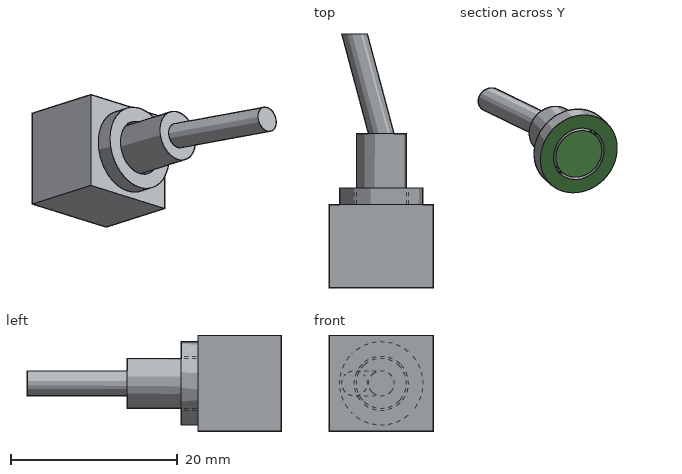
import cadquery as cq
import math

total_length = 30.5

housing_width = 12.5
housing_depth = 10.0
housing_height = 11.5

bushing_diameter = 6.0
bushing_length = 8.5
washer_diameter = 10.0
washer_bore = 6.5
washer_thickness = 2.0

lever_diameter = 3.0
lever_tilt = 15.0

bushing_top = housing_depth + bushing_length
lever_reach = total_length - bushing_top


def plane_across_y(y):
    """Plane at the given Y, facing +Y, with its local X along global X."""
    return cq.Workplane(cq.Plane(origin=(0, y, 0), xDir=(1, 0, 0), normal=(0, 1, 0)))


def make_housing():
    """Box and bushing as one solid."""
    box = plane_across_y(0).rect(housing_width, housing_height).extrude(housing_depth)
    bushing = plane_across_y(housing_depth).circle(bushing_diameter / 2).extrude(bushing_length)
    return box.union(bushing)


def make_washer():
    """Flat ring resting on the housing, with clearance around the bushing."""
    return (
        plane_across_y(housing_depth)
        .circle(washer_diameter / 2)
        .circle(washer_bore / 2)
        .extrude(washer_thickness)
    )


def make_lever():
    """Tilted rod: its cross-section square to Y is an ellipse, swept along the tilted axis."""
    tilt = math.radians(lever_tilt)
    tip = (-lever_reach * math.tan(tilt), total_length)
    path = cq.Workplane("XY").moveTo(0, bushing_top).lineTo(*tip)
    ellipse_half_width = lever_diameter / 2 / math.cos(tilt)
    return plane_across_y(bushing_top).ellipse(ellipse_half_width, lever_diameter / 2).sweep(path)


housing = make_housing()
washer = make_washer()
lever = make_lever()

result = cq.Compound.makeCompound([housing.val(), washer.val(), lever.val()])